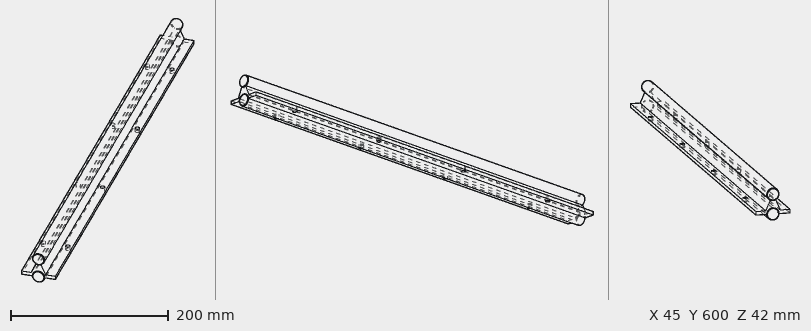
import cadquery as cq

length = 600.0
base_width = 45.0
total_height = 42.0

rod_diameter = 16.0
rod_radius = rod_diameter / 2
rod_chamfer = 0.9
lower_rod_z = rod_radius
upper_rod_z = total_height - rod_radius

flange_bottom = lower_rod_z
flange_thickness = 5.0
flange_top = flange_bottom + flange_thickness
web_top_width = 0.5
web_bottom_width = 19.0

hole_diameter = 5.5
hole_row_spacing = 32.5
hole_count = 4
hole_pitch = length / hole_count


def cylinder_along_y(center_z):
    """Plain cylinder of rod diameter over the full length."""
    return cq.Workplane("XZ", origin=(0, length / 2, center_z)).circle(rod_radius).extrude(length)


def rod(center_z):
    """Round rod with a chamfer on both ends."""
    return cylinder_along_y(center_z).faces("<Y or >Y").chamfer(rod_chamfer)


def support():
    """Flanged foot and tapered web, hollowed to seat both rods."""
    half_profile = [
        (0, flange_bottom),
        (base_width / 2, flange_bottom),
        (base_width / 2, flange_top),
        (web_bottom_width / 2, flange_top),
        (web_top_width / 2, upper_rod_z),
        (0, upper_rod_z),
    ]
    body = (
        cq.Workplane("XZ", origin=(0, length / 2, 0))
        .polyline(half_profile)
        .close()
        .extrude(length)
        .mirror("YZ", union=True)
    )
    holes = (
        cq.Workplane("XY")
        .rarray(hole_row_spacing, hole_pitch, 2, hole_count)
        .circle(hole_diameter / 2)
        .extrude(total_height)
    )
    body = body.cut(holes)
    for seat_z in (lower_rod_z, upper_rod_z):
        body = body.cut(cylinder_along_y(seat_z))
    return body


rail_support = support()
rods = [rod(center_z) for center_z in (lower_rod_z, upper_rod_z)]
result = cq.Compound.makeCompound([rail_support.val(), *[bar.val() for bar in rods]])